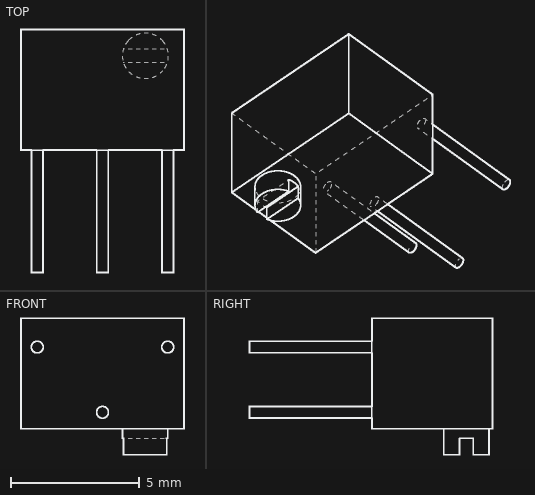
import cadquery as cq


body_width = 6.35
body_depth = 4.70
body_height = 4.32
middle_pin_to_bottom = 0.65
body_bottom = -middle_pin_to_bottom

pin_diameter = 0.46
pin_length = 4.77
pin_pitch = 2.54
pin_positions = [
    (-pin_pitch, pin_pitch),
    (0, 0),
    (pin_pitch, pin_pitch),
]

screw_diameter = 1.78
screw_height = 1.01
screw_x = 1.66
screw_to_back = 1.02
screw_y = body_depth - screw_to_back
slot_width = 0.53
slot_depth = 0.64


def make_body():
    return (
        cq.Workplane("XY", origin=(0, 0, body_bottom))
        .box(body_width, body_depth, body_height, centered=(True, False, False))
    )


def make_pins():
    """Round pins running from the pin face toward -Y; the XZ plane's normal is -Y."""
    return (
        cq.Workplane("XZ")
        .pushPoints(pin_positions)
        .circle(pin_diameter / 2)
        .extrude(pin_length)
    )


def make_screw():
    """Round screw head below the body, with a driver slot along X across its end."""
    screw_end = body_bottom - screw_height
    head = (
        cq.Workplane("XY", origin=(screw_x, screw_y, screw_end))
        .circle(screw_diameter / 2)
        .extrude(screw_height)
    )
    slot = (
        cq.Workplane("XY", origin=(screw_x, screw_y, screw_end))
        .box(screw_diameter, slot_width, slot_depth, centered=(True, True, False))
    )
    return head.cut(slot)


result = make_body().union(make_pins()).union(make_screw())